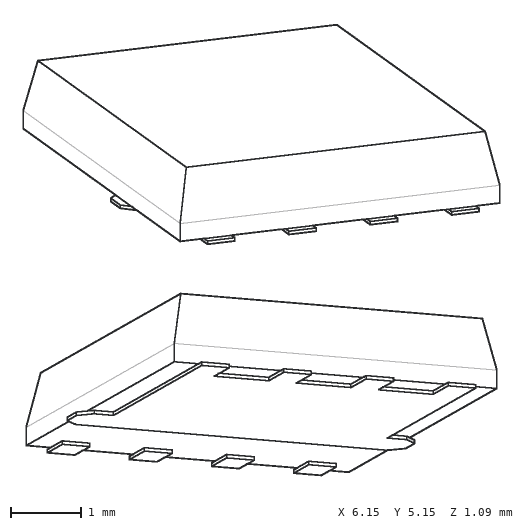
import cadquery as cq

METAL_THICKNESS = 0.05
OVERALL_LENGTH = 6.15
OVERALL_WIDTH = 5.15

BODY_LENGTH = 5.9
BODY_WIDTH = 4.91
BODY_TOP = 1.09
SHOULDER_Z = 0.32
SLOPE_INSET = 0.16

LEADS_PER_SIDE = 4
LEAD_PITCH = 1.25
LEAD_WIDTH = 0.42
LEAD_LENGTH = 0.6

PAD_RIGHT = 1.19
TAB_NECK_Y = 2.38
TAB_TIP_WIDTH = 0.36

lead_tip_x = OVERALL_LENGTH / 2
tab_tip_y = OVERALL_WIDTH / 2
tab_taper = tab_tip_y - TAB_NECK_Y
lead_centres_y = [
    (i - (LEADS_PER_SIDE - 1) / 2) * LEAD_PITCH for i in range(LEADS_PER_SIDE)
]
pad_left = -lead_tip_x + LEAD_LENGTH
pad_half_width = lead_centres_y[-1] + LEAD_WIDTH / 2


def make_body():
    """Upright base block topped by a block with sloped walls."""
    base = (
        cq.Workplane("XY", origin=(0, 0, METAL_THICKNESS))
        .rect(BODY_LENGTH, BODY_WIDTH)
        .extrude(SHOULDER_Z - METAL_THICKNESS)
    )
    sloped_top = (
        cq.Workplane("XY", origin=(0, 0, SHOULDER_Z))
        .rect(BODY_LENGTH, BODY_WIDTH)
        .workplane(offset=BODY_TOP - SHOULDER_Z)
        .rect(BODY_LENGTH - 2 * SLOPE_INSET, BODY_WIDTH - 2 * SLOPE_INSET)
        .loft(ruled=True)
    )
    return base.union(sloped_top)


def make_pad():
    """Thermal pad with a tapered tab beside its right edge at each end."""
    tip_right = PAD_RIGHT - tab_taper
    tip_left = tip_right - TAB_TIP_WIDTH
    neck_left = tip_left - tab_taper
    upper_half = (
        cq.Workplane("XY")
        .moveTo(pad_left, 0)
        .lineTo(PAD_RIGHT, 0)
        .lineTo(PAD_RIGHT, TAB_NECK_Y)
        .lineTo(tip_right, tab_tip_y)
        .lineTo(tip_left, tab_tip_y)
        .lineTo(neck_left, TAB_NECK_Y)
        .lineTo(neck_left, pad_half_width)
        .lineTo(pad_left, pad_half_width)
        .close()
        .extrude(METAL_THICKNESS)
    )
    return upper_half.union(upper_half.mirror("XZ"))


def make_lead_row(start_x, end_x):
    """Row of flat leads, each running from start_x to end_x."""
    centre_x = (start_x + end_x) / 2
    return (
        cq.Workplane("XY")
        .pushPoints([(centre_x, y) for y in lead_centres_y])
        .rect(end_x - start_x, LEAD_WIDTH)
        .extrude(METAL_THICKNESS)
    )


left_leads = make_lead_row(-lead_tip_x, pad_left)
right_leads = make_lead_row(lead_tip_x - LEAD_LENGTH, lead_tip_x)

result = make_body().union(make_pad()).union(left_leads).union(right_leads).clean()